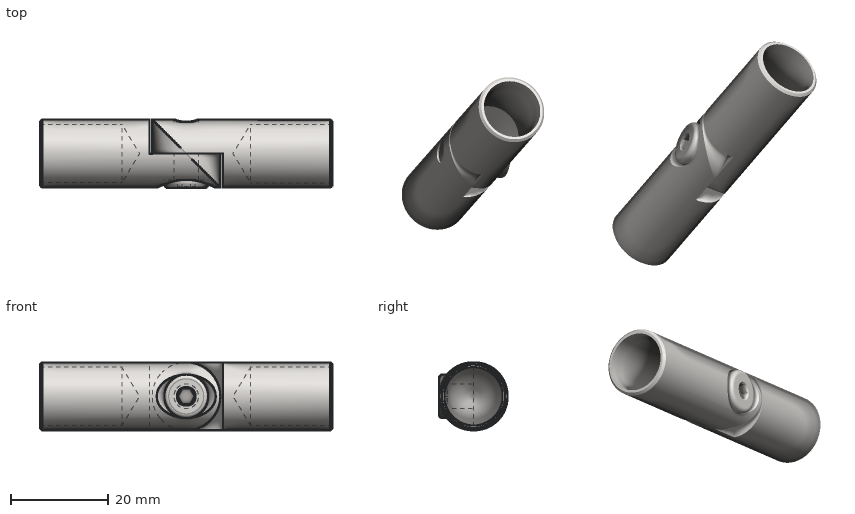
import cadquery as cq
import math

length = 60.0
rod_diameter = 14.0
rod_radius = rod_diameter / 2
end_chamfer = 0.5
joint_wall_x = 7.5

bore_radius = 6.0
bore_depth = 16.8
drill_half_angle = 59.0

head_radius = 4.5
head_protrusion = 0.1
head_top_y = -(rod_radius + head_protrusion)
head_fillet = 0.9
shank_radius = 2.5
hex_across_flats = 3.1
hex_depth = 1.8
socket_mouth_radius = 1.9

recess_mouth_radius = 6.05
head_seat_y = -(rod_radius - (recess_mouth_radius - head_radius))

hex_corner_diameter = hex_across_flats / math.cos(math.radians(30))
socket_chamfer = socket_mouth_radius - hex_across_flats / 2
bolt_end_y = math.sqrt(rod_radius**2 - shank_radius**2)


def y_cylinder(radius, y_start, y_end):
    """Cylinder on the pivot axis between two Y positions."""
    return cq.Workplane("XZ", origin=(0, y_start, 0)).circle(radius).extrude(y_start - y_end)


def y_cone(radius_start, radius_end, y_start, y_end):
    """Cone on the pivot axis between two Y positions, y_start being the lower."""
    return cq.Workplane(cq.Solid.makeCone(
        radius_start, radius_end, y_end - y_start, cq.Vector(0, y_start, 0), cq.Vector(0, 1, 0)
    ))


def drilled_bore():
    """Bore entering from the -X end and finishing in a drill point."""
    cone_depth = bore_radius / math.tan(math.radians(drill_half_angle))
    profile = [
        (-length / 2, 0),
        (-length / 2, bore_radius),
        (-length / 2 + bore_depth, bore_radius),
        (-length / 2 + bore_depth + cone_depth, 0),
    ]
    return cq.Workplane("XY").polyline(profile).close().revolve(360, (0, 0, 0), (1, 0, 0))


def half_link():
    """Link running to -X, with a rounded half-thickness knuckle on the -Y side."""
    rod = (
        cq.Workplane("YZ", origin=(-length / 2, 0, 0))
        .circle(rod_radius)
        .extrude(length / 2 + rod_radius)
        .faces("<X")
        .chamfer(end_chamfer)
    )
    shaft_length = length / 2 - joint_wall_x
    envelope = cq.Workplane("XY").box(
        shaft_length, 2 * rod_radius, 2 * rod_radius
    ).translate((-length / 2 + shaft_length / 2, 0, 0))
    tongue = cq.Workplane("XY").box(
        length / 2, rod_radius, 2 * rod_radius
    ).translate((-length / 4, -rod_radius / 2, 0))
    envelope = envelope.union(tongue).union(y_cylinder(rod_radius, -rod_radius, 0))
    return rod.intersect(envelope).cut(drilled_bore())


def make_front_link():
    """Link with the conical head recess and a through hole for the bolt."""
    recess = y_cone(recess_mouth_radius, head_radius, -rod_radius, head_seat_y)
    return half_link().cut(recess).cut(y_cylinder(shank_radius, head_seat_y, 0))


def make_bolt():
    """Round-edged head with a countersunk hexagon socket, on a plain shank."""
    head = y_cylinder(head_radius, head_top_y, head_seat_y).faces("<Y").edges().fillet(head_fillet)
    shank = y_cylinder(shank_radius, head_seat_y, bolt_end_y)
    socket = (
        cq.Workplane("XZ", origin=(0, head_top_y, 0))
        .polygon(6, hex_corner_diameter)
        .extrude(-hex_depth)
    )
    mouth = y_cone(
        socket_mouth_radius, hex_across_flats / 2, head_top_y, head_top_y + socket_chamfer
    )
    return head.union(shank).cut(socket).cut(mouth)


def make_rear_link_with_bolt():
    """Opposite link, its bolt hole filled by the fixed bolt up to a flat end."""
    link = half_link().rotate((0, 0, 0), (0, 0, 1), 180)
    bolt_hole = y_cylinder(shank_radius, 0, rod_radius)
    return link.cut(bolt_hole).union(make_bolt())


front_link = make_front_link().solids()
rear_link_with_bolt = make_rear_link_with_bolt().solids()

result = cq.Compound.makeCompound([front_link.val(), rear_link_with_bolt.val()])